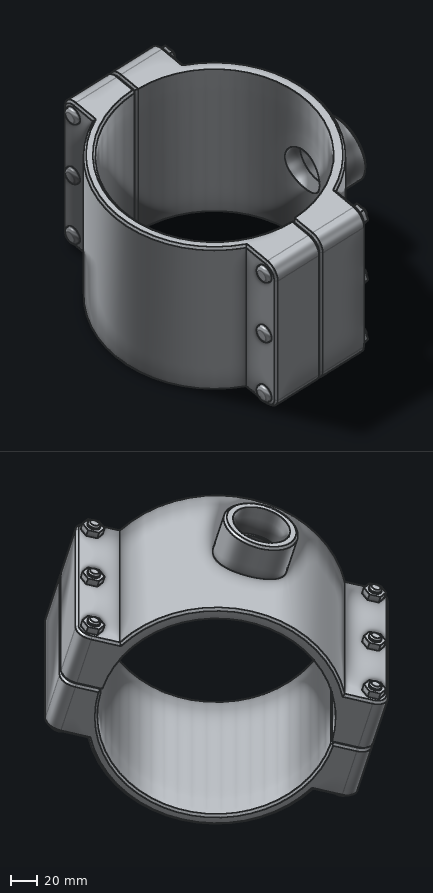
import cadquery as cq

length = 245.0
overall_depth = 226.6
height = 154.0
bore_diameter = 180.0
ring_diameter = 198.0
ear_depth = 45.0
ear_corner_radius = 12.2
edge_chamfer = 2.0

branch_diameter = 58.3
branch_reach = overall_depth - ring_diameter / 2
branch_hole_diameter = 40.0
branch_counterbore_diameter = 44.8
branch_counterbore_floor = 103.0

bolt_x = length / 2 - ear_corner_radius
bolt_z = height / 2 - ear_corner_radius
shank_diameter = 10.0
shank_tip_reach = 8.3
shank_tip_chamfer = 1.5
head_diameter = 15.0
head_height = 4.0
head_round = 3.0
nut_across_corners = 17.5
nut_thickness = 5.5


def cylinder_along_y(diameter, y_start, y_end, x=0, z=0):
    """Round bar parallel to Y between two Y positions."""
    plane = cq.Workplane("XZ", origin=(x, y_start, z))
    return plane.circle(diameter / 2).extrude(y_start - y_end)


def make_bore():
    return cq.Workplane("XY").circle(bore_diameter / 2).extrude(height / 2, both=True)


def make_half():
    """Clamp half on the +Y side, with its two ears and chamfered outside edges."""
    ears = (
        cq.Workplane("XY")
        .box(length, ear_depth, height)
        .translate((0, ear_depth / 2, 0))
        .edges("|Y")
        .fillet(ear_corner_radius)
        .faces(">Y")
        .chamfer(edge_chamfer)
    )
    ring = (
        cq.Workplane("XY")
        .circle(ring_diameter / 2)
        .extrude(height / 2, both=True)
        .faces("<Z or >Z")
        .chamfer(edge_chamfer)
    )
    positive_y = cq.Workplane("XY").box(length, length, height).translate((0, length / 2, 0))
    half = ears.union(ring.intersect(positive_y)).cut(make_bore())
    return half.faces("<Y").chamfer(edge_chamfer)


def make_plain_half():
    """The -Y half: also chamfered around both mouths of the bore."""
    mouth_radius = bore_diameter / 2 + edge_chamfer
    mouth = cq.Workplane("XY", origin=(0, 0, height / 2)).circle(mouth_radius)
    mouth = mouth.workplane(offset=-edge_chamfer).circle(bore_diameter / 2).loft(ruled=True)
    return make_half().cut(mouth).cut(mouth.mirror("XY")).mirror("XZ")


def make_branch_half():
    """The +Y half: carries the branch socket, open into the bore."""
    branch = cylinder_along_y(branch_diameter, 0, branch_reach).faces(">Y").chamfer(edge_chamfer)
    hole = cylinder_along_y(branch_hole_diameter, 0, branch_reach)
    counterbore = cylinder_along_y(
        branch_counterbore_diameter, branch_counterbore_floor, branch_reach
    )
    return make_half().union(branch.cut(make_bore())).cut(hole).cut(counterbore)


def make_bolt(x, z):
    """Bolt with a round head on the -Y ear and a hexagon nut on the +Y ear."""
    head_top = -ear_depth - head_height
    shank = cylinder_along_y(shank_diameter, -ear_depth, ear_depth + shank_tip_reach, x, z)
    shank = shank.faces(">Y").chamfer(shank_tip_chamfer)
    head = cylinder_along_y(head_diameter, head_top, -ear_depth, x, z)
    head = head.faces("<Y").edges().fillet(head_round)
    nut = (
        cq.Workplane("XZ", origin=(x, ear_depth, z))
        .polygon(6, nut_across_corners)
        .extrude(-nut_thickness)
    )
    return shank.union(head).union(nut)


result = make_branch_half().union(make_plain_half())
for x in (-bolt_x, bolt_x):
    for z in (-bolt_z, 0, bolt_z):
        result = result.union(make_bolt(x, z))